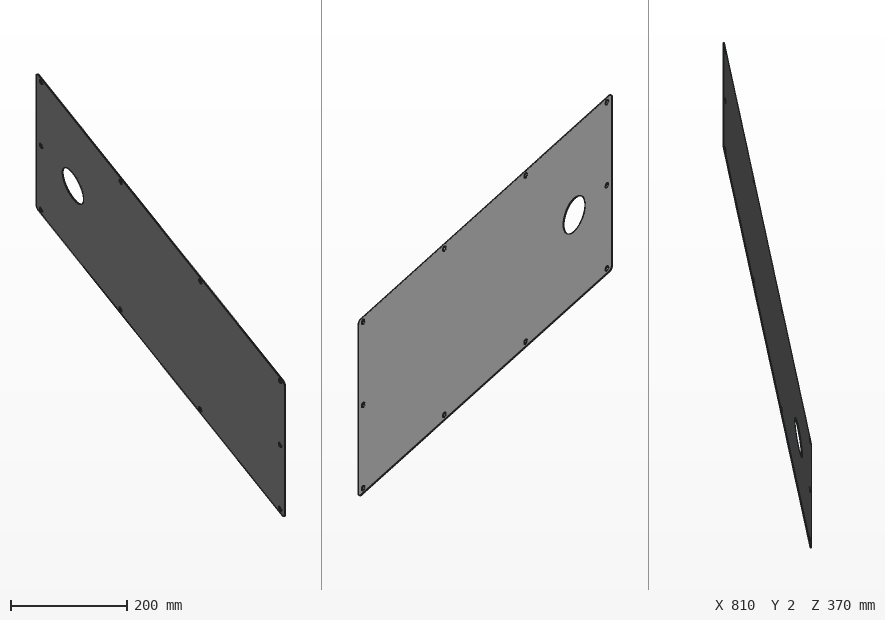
import cadquery as cq

length = 810.0
height = 370.0
thickness = 2.0
corner_radius = 8.0

hole_diameter = 10.0
hole_span_x = 779.0
hole_span_z = 350.0
columns = 4
rows = 3

opening_diameter = 70.0
opening_from_left = 120.0

column_pitch = hole_span_x / (columns - 1)
row_pitch = hole_span_z / (rows - 1)


def edge_hole_centers():
    """Grid positions that lie on the outer ring of the hole pattern."""
    centers = []
    for column in range(columns):
        for row in range(rows):
            if column in (0, columns - 1) or row in (0, rows - 1):
                x = -hole_span_x / 2 + column * column_pitch
                z = -hole_span_z / 2 + row * row_pitch
                centers.append((x, z))
    return centers


plate = cq.Workplane("XY").box(length, thickness, height)
plate = plate.edges("|Y").fillet(corner_radius)

front = plate.faces("<Y").workplane(centerOption="CenterOfBoundBox")
plate = front.pushPoints(edge_hole_centers()).hole(hole_diameter)

front = plate.faces("<Y").workplane(centerOption="CenterOfBoundBox")
result = front.center(-length / 2 + opening_from_left, 0).hole(opening_diameter)